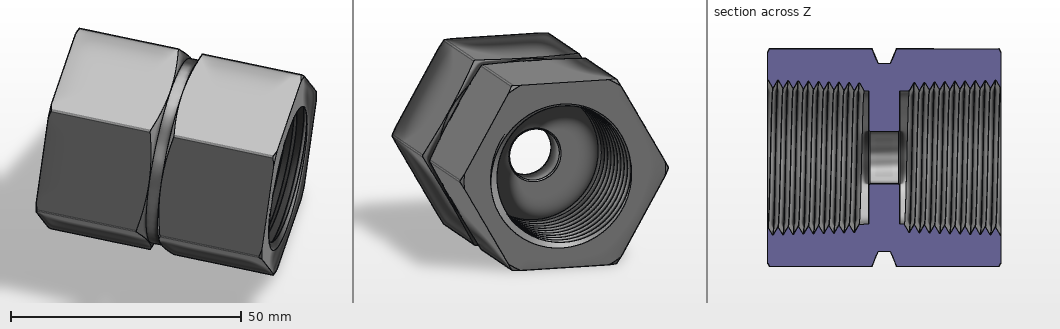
import cadquery as cq
import math

length = 50.8
half_length = length / 2
across_flats = 41.2
corner_fillet = 0.5
across_corners = across_flats / math.cos(math.radians(30))
corner_radius = across_corners / 2

end_face_radius = 22.9
end_chamfer_angle = 30
end_chamfer_length = (corner_radius - end_face_radius) * math.tan(math.radians(end_chamfer_angle))

collar_radius = 20.5
collar_width = 2.6
collar_cone_length = 1.4

through_hole_diameter = 11.3
through_hole_chamfer = 0.3

pitch = 25.4 / 11.5
taper_angle = math.degrees(math.atan(1 / 32))
flank_tangent = math.tan(math.radians(30))
bore_depth = 22.0
mouth_crest_radius = 15.1
root_flat = 0.038 * pitch
crest_flat = root_flat
thread_depth = (pitch - root_flat - crest_flat) / (2 * flank_tangent)
mouth_groove_angle = 103
thread_runout = 0.6 * pitch
mouth_overrun = pitch
bore_overrun = 2 * pitch
profile_overlap = 0.05
thread_phase = mouth_groove_angle - 360 * (bore_depth - thread_runout) / pitch
bore_seam_angle = 150


def crest_radius_at(height):
    """Crest radius of the tapered bore at a height above its floor."""
    return mouth_crest_radius + (height - bore_depth) * math.tan(math.radians(taper_angle))


def make_hexagon_bar():
    bar = cq.Workplane("YZ").polygon(6, across_corners).extrude(length)
    bar = bar.edges("|X").fillet(corner_fillet)
    return bar.translate((-half_length, 0, 0))


def make_turned_envelope():
    """Solid of revolution that chamfers the ends and cuts the groove down to the collar."""
    half_collar = collar_width / 2
    return (
        cq.Workplane("XY")
        .moveTo(-half_length, 0)
        .lineTo(-half_length, end_face_radius)
        .lineTo(-half_length + end_chamfer_length, corner_radius)
        .lineTo(-half_collar - collar_cone_length, corner_radius)
        .lineTo(-half_collar, collar_radius)
        .lineTo(half_collar, collar_radius)
        .lineTo(half_collar + collar_cone_length, corner_radius)
        .lineTo(half_length - end_chamfer_length, corner_radius)
        .lineTo(half_length, end_face_radius)
        .lineTo(half_length, 0)
        .close()
        .revolve(360, (0, 0, 0), (1, 0, 0))
    )


def make_bore():
    """Tapered bore with its floor at Z = 0, carried on past the mouth at Z = bore_depth."""
    top = bore_depth + bore_overrun
    return (
        cq.Workplane("XZ")
        .lineTo(crest_radius_at(0), 0)
        .lineTo(crest_radius_at(top), top)
        .lineTo(0, top)
        .close()
        .revolve(360, (0, 0, 0), (0, 1, 0))
        .rotate((0, 0, 0), (0, 0, 1), bore_seam_angle)
    )


def make_thread_groove():
    """Helical groove that runs from above the bore floor out past the mouth."""
    helix_height = bore_depth + mouth_overrun - thread_runout
    start_radius = crest_radius_at(thread_runout)
    helix = cq.Wire.makeHelix(
        pitch, helix_height, start_radius, cq.Vector(0, 0, thread_runout), cq.Vector(0, 0, 1), taper_angle
    )
    inner_half = root_flat / 2 + (thread_depth + profile_overlap) * flank_tangent
    profile = (
        cq.Workplane("XZ")
        .moveTo(start_radius - profile_overlap, thread_runout - inner_half)
        .lineTo(start_radius + thread_depth, thread_runout - root_flat / 2)
        .lineTo(start_radius + thread_depth, thread_runout + root_flat / 2)
        .lineTo(start_radius - profile_overlap, thread_runout + inner_half)
        .close()
    )
    return profile.sweep(cq.Workplane(obj=helix), isFrenet=True)


def make_through_hole():
    """Hole between the two bore floors, with a chamfered rim at each floor."""
    hole_radius = through_hole_diameter / 2
    rim_radius = hole_radius + through_hole_chamfer
    floor_x = half_length - bore_depth
    return (
        cq.Workplane("XY")
        .moveTo(-floor_x, 0)
        .lineTo(-floor_x, rim_radius)
        .lineTo(-floor_x + through_hole_chamfer, hole_radius)
        .lineTo(floor_x - through_hole_chamfer, hole_radius)
        .lineTo(floor_x, rim_radius)
        .lineTo(floor_x, 0)
        .close()
        .revolve(360, (0, 0, 0), (1, 0, 0))
    )


def make_threaded_bore():
    """Threaded bore as one solid, opening on the -X end face."""
    bore = make_bore().union(make_thread_groove(), clean=False)
    turned = bore.rotate((0, 0, 0), (0, 0, 1), thread_phase).rotate((0, 0, 0), (0, 1, 0), -90)
    return turned.translate((bore_depth - half_length, 0, 0))


coupling = make_hexagon_bar().intersect(make_turned_envelope())
threaded_bore = make_threaded_bore()
for turn in (0, 180):
    coupling = coupling.cut(threaded_bore.rotate((0, 0, 0), (0, 0, 1), turn))
result = coupling.cut(make_through_hole())